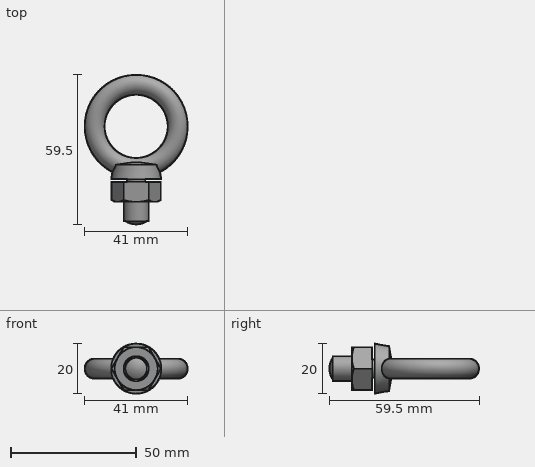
import cadquery as cq
import math


ring_outer_diameter = 41.0
ring_inner_diameter = 25.0
ring_section_radius = (ring_outer_diameter - ring_inner_diameter) / 4
ring_mean_radius = (ring_outer_diameter + ring_inner_diameter) / 4

overall_length = 59.5
collar_base_y = -21.0
collar_height = 5.8
collar_base_radius = 10.0
collar_slope = math.radians(10)
collar_top_y = collar_base_y + collar_height
collar_top_radius = collar_base_radius - collar_height * math.tan(collar_slope)
collar_apex_y = collar_top_y + collar_top_radius * math.tan(collar_slope)

neck_radius = 3.7
shank_radius = 5.0
dome_radius = 4.3
dome_height = 1.35
tip_y = ring_outer_diameter / 2 - overall_length
shank_end_y = tip_y + dome_height

nut_gap = 1.0
nut_height = 8.0
nut_across_flats = 17.0
nut_chamfer_angle = math.radians(30)
nut_top_y = collar_base_y - nut_gap
nut_across_corners = nut_across_flats / math.cos(math.radians(30))


def make_ring():
    return (
        cq.Workplane("YZ")
        .center(ring_mean_radius, 0)
        .circle(ring_section_radius)
        .revolve(360, (-ring_mean_radius, 0), (-ring_mean_radius, 1))
    )


def make_shank_and_collar():
    """Revolve the half outline of the collar, neck, shank and dome about Y."""
    sphere_radius = (dome_radius**2 + dome_height**2) / (2 * dome_height)
    mid_angle = math.asin(dome_radius / sphere_radius) / 2
    dome_mid_point = (
        sphere_radius * math.sin(mid_angle),
        tip_y + sphere_radius * (1 - math.cos(mid_angle)),
    )
    return (
        cq.Workplane("XY")
        .moveTo(0, collar_apex_y)
        .lineTo(collar_top_radius, collar_top_y)
        .lineTo(collar_base_radius, collar_base_y)
        .lineTo(neck_radius, collar_base_y)
        .lineTo(neck_radius, nut_top_y)
        .lineTo(shank_radius, nut_top_y)
        .lineTo(shank_radius, shank_end_y)
        .lineTo(dome_radius, shank_end_y)
        .threePointArc(dome_mid_point, (0, tip_y))
        .close()
        .revolve(360, (0, 0), (0, 1))
    )


def make_eye_bolt():
    return make_ring().union(make_shank_and_collar())


def make_nut():
    """Hexagon with its corners chamfered by a cone at the end away from the collar."""
    prism = (
        cq.Workplane("XZ", origin=(0, nut_top_y, 0))
        .polygon(6, nut_across_corners)
        .circle(shank_radius)
        .extrude(nut_height)
    )
    nut_end_y = nut_top_y - nut_height
    flat_radius = nut_across_flats / 2
    cone_top_radius = flat_radius + nut_height / math.tan(nut_chamfer_angle)
    chamfer_cone = (
        cq.Workplane("XY")
        .moveTo(0, nut_end_y)
        .lineTo(flat_radius, nut_end_y)
        .lineTo(cone_top_radius, nut_top_y)
        .lineTo(0, nut_top_y)
        .close()
        .revolve(360, (0, 0), (0, 1))
    )
    return prism.intersect(chamfer_cone)


eye_bolt = make_eye_bolt()
nut = make_nut()

result = cq.Compound.makeCompound([eye_bolt.val(), nut.val()])